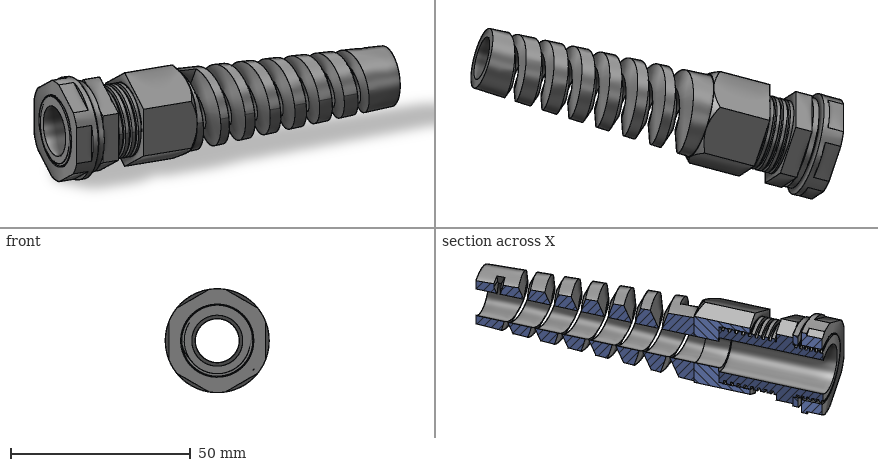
import cadquery as cq
import math


LOCKNUT_START = 0.3
LOCKNUT_FLANGE_START = 4.9
LOCKNUT_END = 6.5
WASHER_START = 7.4
HEX_START = 9.1
HEX_END = 14.0
CAP_START = 21.75
SHANK_END = 31.0
CAP_END = 38.4
SPIRAL_END = 103.0

HEX_ACROSS_FLATS = 24.0
LOCKNUT_ACROSS_FLATS = 27.0

LOCKNUT_RADIUS = 14.5
LOCKNUT_HOLE_RADIUS = 10.2
WASHER_RADIUS = 13.0
BODY_BORE_RADIUS = 7.1
SPIRAL_BORE_RADIUS = 6.1
SPIRAL_BASE_RADIUS = 11.75
SPIRAL_TIP_RADIUS = 8.6

MOUNT_THREAD_RADIUS = 9.9
MOUNT_THREAD_PITCH = 1.5
MOUNT_THREAD_DEPTH = 0.7
MOUNT_GROOVE_WIDTH = 0.8
MOUNT_GROOVE_START = -2.2
MOUNT_GROOVE_TURNS = 7

CAP_THREAD_RADIUS = 10.5
CAP_THREAD_PITCH = 2.0
CAP_THREAD_DEPTH = 0.9
CAP_GROOVE_WIDTH = 0.9
CAP_GROOVE_START = 12.0
CAP_GROOVE_TURNS = 9

THREAD_ROOT_SHARE = 0.7

SLOT_PITCH = 8.0
SLOT_TURNS = 6.97
SLOT_START = 41.2
SLOT_LIMIT = 97.65
SLOT_BORE_WIDTH = 0.9
SLOT_FLANK_SLOPE = 0.42

CUT_MARGIN = 0.3


def cylinder(radius, start, end):
    """Solid cylinder on the Y axis."""
    return cq.Workplane("XZ", origin=(0, start, 0)).circle(radius).extrude(start - end)


def hexagon(across_flats, start, end):
    """Hexagonal prism on the Y axis with flats facing +X and -X."""
    corner_diameter = across_flats / math.cos(math.radians(30))
    prism = cq.Workplane("XZ", origin=(0, start, 0)).polygon(6, corner_diameter).extrude(start - end)
    return prism.rotate((0, 0, 0), (0, 1, 0), 30)


def helical_cutter(inner_radius, outer_radius, inner_width, outer_width, pitch, turns, start):
    """Right-handed sweep of a trapezoid around the Y axis, starting on the +Z side."""
    helix = cq.Wire.makeHelix(pitch, pitch * turns, inner_radius)
    profile = cq.Workplane("XZ").polyline([
        (inner_radius, -inner_width / 2),
        (outer_radius, -outer_width / 2),
        (outer_radius, outer_width / 2),
        (inner_radius, inner_width / 2),
    ]).close()
    cutter = profile.sweep(cq.Workplane(helix), isFrenet=True)
    along_y = cutter.rotate((0, 0, 0), (1, 0, 0), -90)
    return along_y.rotate((0, 0, 0), (0, 1, 0), -90).translate((0, start, 0))


def threaded_shank(radius, depth, groove_width, pitch, start, end, groove_start, groove_turns):
    """Cylinder with a helical thread groove."""
    root_width = groove_width * THREAD_ROOT_SHARE
    slope = (groove_width - root_width) / depth
    groove = helical_cutter(
        radius - depth,
        radius + CUT_MARGIN,
        root_width,
        groove_width + slope * CUT_MARGIN,
        pitch,
        groove_turns,
        groove_start,
    )
    return cylinder(radius, start, end).cut(groove)


def make_locknut():
    """Round flange with a round-cornered hexagon below it, clear of the thread crests."""
    grip = hexagon(LOCKNUT_ACROSS_FLATS, LOCKNUT_START, LOCKNUT_FLANGE_START)
    grip = grip.intersect(cylinder(LOCKNUT_RADIUS, LOCKNUT_START, LOCKNUT_FLANGE_START))
    flange = cylinder(LOCKNUT_RADIUS, LOCKNUT_FLANGE_START, LOCKNUT_END)
    return grip.union(flange).cut(cylinder(LOCKNUT_HOLE_RADIUS, LOCKNUT_START, LOCKNUT_END))


def make_washer():
    """Flat sealing ring under the body hexagon."""
    ring = cylinder(WASHER_RADIUS, WASHER_START, HEX_START)
    return ring.cut(cylinder(MOUNT_THREAD_RADIUS, WASHER_START, HEX_START))


def make_body():
    """Hexagon with a threaded shank on each side and a bore through all of it."""
    mount_shank = threaded_shank(
        MOUNT_THREAD_RADIUS, MOUNT_THREAD_DEPTH, MOUNT_GROOVE_WIDTH, MOUNT_THREAD_PITCH,
        0, HEX_START, MOUNT_GROOVE_START, MOUNT_GROOVE_TURNS)
    cap_shank = threaded_shank(
        CAP_THREAD_RADIUS, CAP_THREAD_DEPTH, CAP_GROOVE_WIDTH, CAP_THREAD_PITCH,
        HEX_END, SHANK_END, CAP_GROOVE_START, CAP_GROOVE_TURNS)
    body = hexagon(HEX_ACROSS_FLATS, HEX_START, HEX_END).union(mount_shank).union(cap_shank)
    return body.cut(cylinder(BODY_BORE_RADIUS, 0, SHANK_END))


def make_cap_nut():
    """Hexagonal cap, chamfered at 45 degrees down to its inscribed circle, screwed on the shank."""
    top_radius = HEX_ACROSS_FLATS / 2
    length = CAP_END - CAP_START
    envelope = cq.Workplane("XY").polyline([
        (0, CAP_START),
        (top_radius + length, CAP_START),
        (top_radius, CAP_END),
        (0, CAP_END),
    ]).close().revolve(360, (0, 0, 0), (0, 1, 0))
    cap = hexagon(HEX_ACROSS_FLATS, CAP_START, CAP_END).intersect(envelope)
    cap = cap.cut(cylinder(CAP_THREAD_RADIUS, CAP_START, SHANK_END))
    return cap.cut(cylinder(SPIRAL_BORE_RADIUS, SHANK_END, CAP_END))


def make_bend_protector():
    """Tapered tube on the cap, cut through by a spiral slot that widens outward."""
    tube = cq.Workplane("XY").polyline([
        (SPIRAL_BORE_RADIUS, CAP_END),
        (SPIRAL_BASE_RADIUS, CAP_END),
        (SPIRAL_TIP_RADIUS, SPIRAL_END),
        (SPIRAL_BORE_RADIUS, SPIRAL_END),
    ]).close().revolve(360, (0, 0, 0), (0, 1, 0))
    inner_radius = SPIRAL_BORE_RADIUS - CUT_MARGIN
    outer_radius = SPIRAL_BASE_RADIUS + CUT_MARGIN
    slot = helical_cutter(
        inner_radius,
        outer_radius,
        SLOT_BORE_WIDTH - 2 * SLOT_FLANK_SLOPE * CUT_MARGIN,
        SLOT_BORE_WIDTH + 2 * SLOT_FLANK_SLOPE * (outer_radius - SPIRAL_BORE_RADIUS),
        SLOT_PITCH,
        SLOT_TURNS,
        SLOT_START,
    )
    slot = slot.intersect(cylinder(outer_radius + CUT_MARGIN, CAP_END, SLOT_LIMIT))
    return tube.cut(slot)


locknut = make_locknut()
washer = make_washer()
body = make_body()
cap_nut = make_cap_nut()
bend_protector = make_bend_protector()

result = cq.Compound.makeCompound([
    locknut.val(),
    washer.val(),
    body.val(),
    cap_nut.val(),
    bend_protector.val(),
])